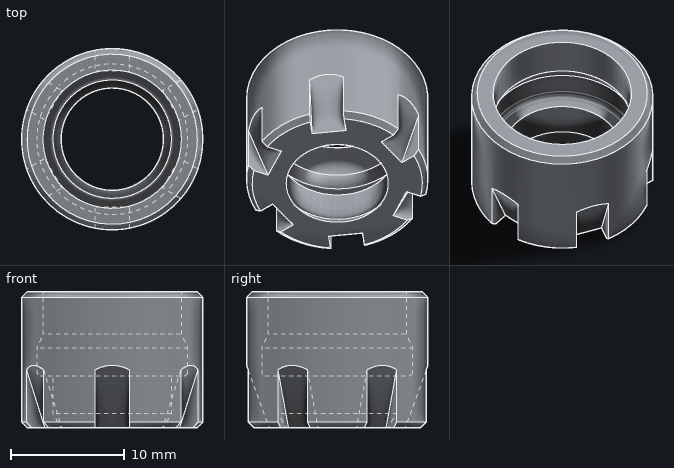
import cadquery as cq
import math

OUTER_DIAMETER = 16.0
HEIGHT = 12.0
EDGE_CHAMFER = 0.5

TOP_BORE_DIAMETER = 12.19
GROOVE_DIAMETER = 13.3
THROAT_DIAMETER = 10.44
NOSE_DIAMETER = 9.0
TOP_BORE_END_Z = 8.25
GROOVE_TAPER_END_Z = 7.05
SHOULDER_Z = 4.55
SHOULDER_FILLET = 0.4
CONE_HALF_ANGLE = 30.0

NOTCH_COUNT = 6
NOTCH_WIDTH = 3.0
NOTCH_TILT = 20.0
NOTCH_TOP_Z = 5.5
NOTCH_OVERCUT = 1.0
FIRST_NOTCH_ANGLE = -90.0

OUTER_RADIUS = OUTER_DIAMETER / 2
GROOVE_RADIUS = GROOVE_DIAMETER / 2
THROAT_RADIUS = THROAT_DIAMETER / 2
NOSE_RADIUS = NOSE_DIAMETER / 2


def make_body():
    """Solid cylinder with both outer rims chamfered."""
    cylinder = cq.Workplane("XY").circle(OUTER_RADIUS).extrude(HEIGHT)
    return cylinder.faces("<Z or >Z").chamfer(EDGE_CHAMFER)


def make_bore():
    """Revolved cavity: plain bore, tapered groove, filleted shoulder, throat and nose cone."""
    top_bore_radius = TOP_BORE_DIAMETER / 2
    cone_height = (THROAT_RADIUS - NOSE_RADIUS) / math.tan(math.radians(CONE_HALF_ANGLE))
    fillet_offset = SHOULDER_FILLET * (1 - math.sqrt(0.5))
    profile = (
        cq.Workplane("XZ")
        .moveTo(0, HEIGHT)
        .lineTo(top_bore_radius, HEIGHT)
        .lineTo(top_bore_radius, TOP_BORE_END_Z)
        .lineTo(GROOVE_RADIUS, GROOVE_TAPER_END_Z)
        .lineTo(GROOVE_RADIUS, SHOULDER_Z + SHOULDER_FILLET)
        .threePointArc(
            (GROOVE_RADIUS - fillet_offset, SHOULDER_Z + fillet_offset),
            (GROOVE_RADIUS - SHOULDER_FILLET, SHOULDER_Z),
        )
        .lineTo(THROAT_RADIUS, SHOULDER_Z)
        .lineTo(THROAT_RADIUS, cone_height)
        .lineTo(NOSE_RADIUS, 0)
        .lineTo(0, 0)
        .close()
    )
    return profile.revolve(360, (0, 0, 0), (0, 1, 0))


def make_notch(angle):
    """Cutter for one notch whose flat floor leans inward toward the bottom rim."""
    lean = math.tan(math.radians(NOTCH_TILT))
    top_z = NOTCH_TOP_Z + NOTCH_OVERCUT / lean
    outer_reach = OUTER_RADIUS + NOTCH_OVERCUT
    floor_radius_at_base = OUTER_RADIUS - NOTCH_TOP_Z * lean
    return (
        cq.Workplane("XZ")
        .moveTo(floor_radius_at_base, 0)
        .lineTo(outer_reach, 0)
        .lineTo(outer_reach, top_z)
        .close()
        .extrude(NOTCH_WIDTH / 2, both=True)
        .rotate((0, 0, 0), (0, 0, 1), angle)
    )


result = make_body().cut(make_bore())
for index in range(NOTCH_COUNT):
    result = result.cut(make_notch(FIRST_NOTCH_ANGLE + index * 360 / NOTCH_COUNT))